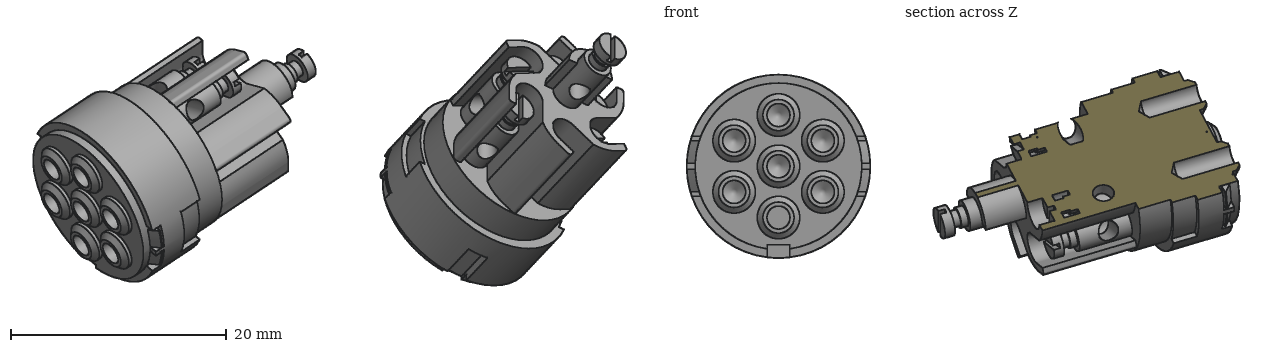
import cadquery as cq
import math

LENGTH = 27.75

BOSS_CHAMFER = 0.53
FACE_FRONT = 0.9
FLANGE_FRONT = 1.72
LATCH_BACK = 2.75
FLANGE_MID = 5.25
FLANGE_BACK = 7.58
BARREL_BACK = 10.75
TOWER_BACK = 20.0
SHELL_BACK = 24.05

FACE_RADIUS = 7.71
FLANGE_RADIUS = 17.0 / 2
RECESS_RADIUS = 7.96
BARREL_RADIUS = 7.58
SHELL_RADIUS = 2.4

PIN_COUNT = 6
PIN_RING_RADIUS = 4.75
PIN_ANGLE = 360 / PIN_COUNT
BOSS_RADIUS = 1.97
PIN_HOLE_RADIUS = 2.15 / 2
PIN_HOLE_DEPTH = 5.55
DRILL_POINT_HEIGHT = 0.65

CONTACT_RADIUS = 2.97 / 2
COLLAR_RADIUS = 1.0
COLLAR_LENGTH = 0.7
NECK_RADIUS = 0.8
NECK_LENGTH = 0.83
HEAD_LENGTH = 1.0
SLOT_WIDTH = 0.45
SLOT_DEPTH = 0.65
WIRE_HOLE_RADIUS = 0.97
WIRE_HOLE_SETBACK = 2.97
RING_CONTACT_TIP = 18.5

LATCH_HALF_HEIGHT = 5.58 / 2
LATCH_TAB_HALF_HEIGHT = 2.35
LATCH_RIB_HALF_HEIGHT = 0.58 / 2
LATCH_TAB_RAMP_TOP = 2.41
LATCH_TAB_BACK = 2.53

NOTCH_WIDTH = 2.1
NOTCH_FLOOR = 7.25

BACK_RADIUS = 4.15
BACK_MIDDLE_ANGLE = 137
ARM_START = 0.25
ARM_OFFSET = 2.28
ARM_REACH = 1.8
ARM_TIP_FILLET = 0.33

NORTH = 90
SOUTH = 270
QUARTER_TURN = 90
OPENING_TURN = 60


def section(y):
    """Workplane across the axis, with local x = X and local y = Z."""
    return cq.Workplane("XZ", origin=(0, y, 0))


def cylinder(radius, y_start, y_end):
    return section(y_start).circle(radius).extrude(y_start - y_end)


def box(x_range, y_range, z_range):
    size = [high - low for low, high in (x_range, y_range, z_range)]
    low_corner = (x_range[0], y_range[0], z_range[0])
    return cq.Workplane("XY").box(*size, centered=False).translate(low_corner)


def turned(profile):
    """Revolve a (radius, y) outline about the Y axis."""
    return cq.Workplane("XY").polyline(profile).close().revolve(360, (0, 0, 0), (0, 1, 0))


def direction(angle):
    return cq.Vector(math.cos(math.radians(angle)), math.sin(math.radians(angle)))


def spin(shape, angle):
    """Turn about the part axis, counter-clockwise as seen from the mating face."""
    return shape.rotate((0, 0, 0), (0, 1, 0), -angle)


def at_pin(shape, angle):
    spot = direction(angle) * PIN_RING_RADIUS
    return shape.translate((spot.x, 0, spot.y))


def both_signs(low, high):
    return ((-high, -low), (low, high))


def flange():
    ring = cylinder(FLANGE_RADIUS, FLANGE_FRONT, FLANGE_BACK)
    recess = cylinder(FLANGE_RADIUS, FLANGE_MID, FLANGE_BACK).cut(
        cylinder(RECESS_RADIUS, FLANGE_MID, FLANGE_BACK)
    )
    window = cylinder(FLANGE_RADIUS, FLANGE_FRONT, LATCH_BACK).cut(
        cylinder(FACE_RADIUS, FLANGE_FRONT, LATCH_BACK)
    )
    band = box(
        (-FLANGE_RADIUS, FLANGE_RADIUS),
        (FLANGE_FRONT, FLANGE_BACK),
        (-LATCH_HALF_HEIGHT, LATCH_HALF_HEIGHT),
    )
    ring = ring.cut(recess.intersect(band)).cut(window.intersect(band))
    tabs = turned([
        (0, FLANGE_FRONT),
        (FACE_RADIUS, FLANGE_FRONT),
        (FLANGE_RADIUS, LATCH_TAB_RAMP_TOP),
        (FLANGE_RADIUS, LATCH_TAB_BACK),
        (0, LATCH_TAB_BACK),
    ])
    for z_range in both_signs(LATCH_RIB_HALF_HEIGHT, LATCH_TAB_HALF_HEIGHT):
        slab = box((-FLANGE_RADIUS, FLANGE_RADIUS), (FLANGE_FRONT, LATCH_TAB_BACK), z_range)
        ring = ring.union(tabs.intersect(slab))
    rib = box(
        (-FLANGE_RADIUS, FLANGE_RADIUS),
        (FLANGE_FRONT, LATCH_BACK),
        (-LATCH_RIB_HALF_HEIGHT, LATCH_RIB_HALF_HEIGHT),
    )
    return ring.union(window.intersect(rib))


def base():
    body = flange().union(cylinder(FACE_RADIUS, FACE_FRONT, FLANGE_FRONT))
    body = body.union(cylinder(BARREL_RADIUS, FLANGE_BACK, BARREL_BACK))
    notch = box(
        (-NOTCH_WIDTH / 2, NOTCH_WIDTH / 2),
        (FACE_FRONT, FLANGE_MID),
        (-FLANGE_RADIUS, -NOTCH_FLOOR),
    )
    return body.cut(notch)


def pin_boss():
    return turned([
        (0, 0),
        (BOSS_RADIUS - BOSS_CHAMFER, 0),
        (BOSS_RADIUS, BOSS_CHAMFER),
        (BOSS_RADIUS, FLANGE_FRONT),
        (0, FLANGE_FRONT),
    ])


def pin_hole(pointed):
    point = DRILL_POINT_HEIGHT if pointed else 0
    outline = [(0, 0), (PIN_HOLE_RADIUS, 0), (PIN_HOLE_RADIUS, PIN_HOLE_DEPTH)]
    return turned(outline + [(0, PIN_HOLE_DEPTH + point)])


def chamber_wall():
    """Wall between the top chamber and the one to its left, including the top arm."""
    along = direction(NORTH - OPENING_TURN)
    across = direction(NORTH - OPENING_TURN + QUARTER_TURN)
    top_pin = direction(NORTH) * PIN_RING_RADIUS
    left_pin = direction(NORTH + PIN_ANGLE) * PIN_RING_RADIUS

    def arm_point(reach, offset):
        return (top_pin + along * reach + across * offset).toTuple()[:2]

    wall_x = left_pin.x + CONTACT_RADIUS
    back_centre = top_pin + along * ARM_START + across * (ARM_OFFSET - BACK_RADIUS)
    corner_height = back_centre.y + math.sqrt(BACK_RADIUS**2 - (back_centre.x - wall_x)**2)
    back_middle = back_centre + direction(BACK_MIDDLE_ANGLE) * BACK_RADIUS
    wall = (
        section(BARREL_BACK)
        .moveTo(0, 0)
        .lineTo(left_pin.x, left_pin.y)
        .lineTo(wall_x, left_pin.y)
        .lineTo(wall_x, corner_height)
        .threePointArc((back_middle.x, back_middle.y), arm_point(ARM_START, ARM_OFFSET))
        .lineTo(*arm_point(ARM_REACH, ARM_OFFSET))
        .lineTo(*arm_point(ARM_REACH, CONTACT_RADIUS))
        .lineTo(*arm_point(0, CONTACT_RADIUS))
        .lineTo(top_pin.x, top_pin.y)
        .close()
        .extrude(BARREL_BACK - TOWER_BACK)
    )
    tip_x, tip_z = arm_point(ARM_REACH, ARM_OFFSET)
    tip_edge = cq.selectors.NearestToPointSelector((tip_x, (BARREL_BACK + TOWER_BACK) / 2, tip_z))
    return wall.edges("|Y").edges(tip_edge).fillet(ARM_TIP_FILLET)


def contact(tip, foot, wire_angle):
    """Slotted screw contact on the axis, its wire hole and screw slot facing wire_angle."""
    head_base = tip - HEAD_LENGTH
    collar_top = head_base - NECK_LENGTH
    body_top = collar_top - COLLAR_LENGTH
    body = turned([
        (0, foot),
        (CONTACT_RADIUS, foot),
        (CONTACT_RADIUS, body_top),
        (COLLAR_RADIUS, body_top),
        (COLLAR_RADIUS, collar_top),
        (NECK_RADIUS, collar_top),
        (NECK_RADIUS, head_base),
        (CONTACT_RADIUS, head_base),
        (CONTACT_RADIUS, tip),
        (0, tip),
    ])
    slot = box(
        (-CONTACT_RADIUS, CONTACT_RADIUS),
        (tip - SLOT_DEPTH, tip),
        (-SLOT_WIDTH / 2, SLOT_WIDTH / 2),
    )
    wire_hole = (
        cq.Workplane("YZ", origin=(0, body_top - WIRE_HOLE_SETBACK, 0))
        .circle(WIRE_HOLE_RADIUS)
        .extrude(CONTACT_RADIUS, both=True)
    )
    return spin(body.cut(slot).cut(wire_hole), wire_angle)


ring_angles = [NORTH + i * PIN_ANGLE for i in range(PIN_COUNT)]
contact_angles = [angle for angle in ring_angles if angle != SOUTH]

result = base()

wall = chamber_wall()
for angle in ring_angles:
    result = result.union(spin(wall, angle - NORTH))
for angle in ring_angles:
    result = result.cut(at_pin(cylinder(CONTACT_RADIUS, BARREL_BACK, TOWER_BACK), angle))
for angle in contact_angles:
    ring_contact = contact(RING_CONTACT_TIP, BARREL_BACK, angle - OPENING_TURN)
    result = result.union(at_pin(ring_contact, angle))

shell_half = box((-SHELL_RADIUS, SHELL_RADIUS), (TOWER_BACK, SHELL_BACK), (0, SHELL_RADIUS))
shell = cylinder(SHELL_RADIUS, TOWER_BACK, SHELL_BACK).intersect(shell_half)
shell = shell.cut(cylinder(CONTACT_RADIUS, TOWER_BACK, SHELL_BACK))
result = result.union(contact(LENGTH, TOWER_BACK, SOUTH)).union(shell)

bosses = [pin_boss()] + [at_pin(pin_boss(), angle) for angle in ring_angles]
for boss in bosses:
    result = result.union(boss)
result = result.cut(pin_hole(pointed=True))
for angle in ring_angles:
    result = result.cut(at_pin(pin_hole(pointed=angle != SOUTH), angle))